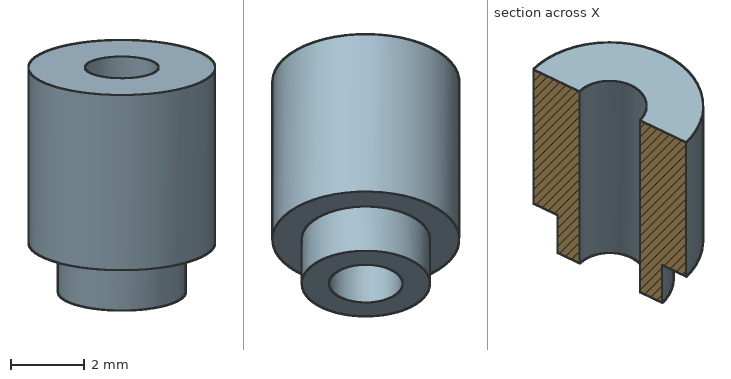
import cadquery as cq

total_height = 6.4
body_diameter = 5.1
spigot_diameter = 3.5
bore_diameter = 2.01
spigot_height = 1.4
body_height = total_height - spigot_height

spigot = cq.Workplane("XY").circle(spigot_diameter / 2).extrude(spigot_height)

stepped_bushing = spigot.faces(">Z").workplane().circle(body_diameter / 2).extrude(body_height)

bore = cq.Workplane("XY").circle(bore_diameter / 2).extrude(total_height)

result = stepped_bushing.cut(bore)